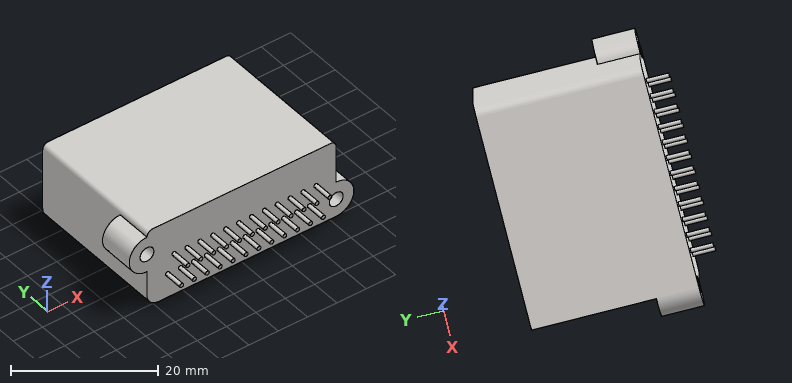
import cadquery as cq

body_width = 32.25
body_depth = 23.5
body_height = 13.3
top_radius = 1.0
bottom_radius = 2.0

ear_radius = 3.03
ear_depth = 6.0
ear_hole_diameter = 2.35
left_ear_drop = 4.02
side_x = body_width / 2
ear_centres = [
    (-side_x, body_height - left_ear_drop),
    (side_x, ear_radius),
]

pin_diameter = 0.65
pin_length = 3.18
pins_per_row = 12
pin_span = 25.28
pin_pitch = pin_span / (pins_per_row - 0.5)
lower_row_z = 4.17
row_spacing = 3.0


def cylinders_from_front(centres, diameter, length):
    """Cylinders along Y from the front face; positive length goes into the body."""
    return cq.Workplane("XZ").pushPoints(centres).circle(diameter / 2).extrude(-length)


def make_body():
    body = cq.Workplane("XY").box(
        body_width, body_depth, body_height, centered=(True, False, False)
    )
    body = body.edges("|Y and >Z").fillet(top_radius)
    return body.edges("|Y and <Z and <X").fillet(bottom_radius)


def pin_centres():
    first_lower_x = -pin_span / 2
    centres = []
    for column in range(pins_per_row):
        lower_x = first_lower_x + column * pin_pitch
        centres.append((lower_x, lower_row_z))
        centres.append((lower_x + pin_pitch / 2, lower_row_z + row_spacing))
    return centres


ears = cylinders_from_front(ear_centres, 2 * ear_radius, ear_depth)
ear_holes = cylinders_from_front(ear_centres, ear_hole_diameter, ear_depth)
pins = cylinders_from_front(pin_centres(), pin_diameter, -pin_length)

result = make_body().union(ears).cut(ear_holes).union(pins)